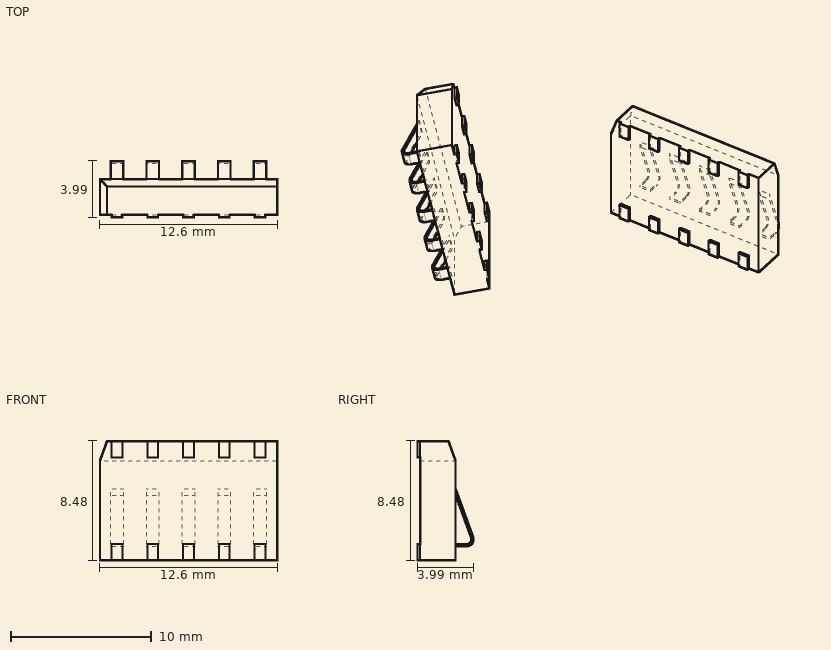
import cadquery as cq
import math

body_width = 12.62
body_depth = 2.54
body_height = 8.48

slope_height = 1.40
slope_angle = 20.0
slope_inset = slope_height * math.tan(math.radians(slope_angle))

pitch = 2.54
position_count = 5

pad_width = 0.77
pad_height = 1.16
pad_thickness = 0.18

spring_width = 0.90
spring_thickness = 0.16
spring_reach = 1.27
spring_bottom = 1.00
spring_bend_radius = 0.50
spring_arm_angle = 20.0

embed = 0.30

position_xs = [(i - (position_count - 1) / 2) * pitch for i in range(position_count)]


def make_housing():
    """Block with the two sloped faces at the top of the rear and left sides."""
    left = -body_width / 2
    slope_start = body_height - slope_height
    front_profile = [
        (left, 0),
        (body_width / 2, 0),
        (body_width / 2, body_height),
        (left + slope_inset, body_height),
        (left, slope_start),
    ]
    block = cq.Workplane("XZ").polyline(front_profile).close().extrude(-body_depth)
    rear_wedge = (
        cq.Workplane("YZ")
        .polyline([
            (body_depth, slope_start),
            (body_depth, body_height),
            (body_depth - slope_inset, body_height),
        ])
        .close()
        .extrude(body_width / 2, both=True)
    )
    return block.cut(rear_wedge)


def make_pad(x, bottom):
    """Flat pad standing out from the front face, with its lower edge at the given Z."""
    pad = cq.Workplane("XY").box(pad_width, pad_thickness, pad_height, centered=(True, False, False))
    return pad.translate((x, -pad_thickness, bottom))


def make_spring(x):
    """Strip leaving the housing horizontally, bent round and returning as a sloped arm."""
    angle = math.radians(spring_arm_angle)
    bend_y = body_depth + spring_reach - spring_bend_radius
    bend_z = spring_bottom + spring_bend_radius
    inner_radius = spring_bend_radius - spring_thickness
    root_y = body_depth - embed

    def on_bend(radius, direction):
        return (bend_y + radius * math.cos(direction), bend_z + radius * math.sin(direction))

    def arm_end(radius):
        tangent_y, tangent_z = on_bend(radius, angle)
        return (root_y, tangent_z + (tangent_y - root_y) / math.tan(angle))

    bend_start = -math.pi / 2
    bend_middle = (bend_start + angle) / 2
    strip = (
        cq.Workplane("YZ")
        .moveTo(root_y, spring_bottom)
        .lineTo(bend_y, spring_bottom)
        .threePointArc(on_bend(spring_bend_radius, bend_middle), on_bend(spring_bend_radius, angle))
        .lineTo(*arm_end(spring_bend_radius))
        .lineTo(*arm_end(inner_radius))
        .lineTo(*on_bend(inner_radius, angle))
        .threePointArc(on_bend(inner_radius, bend_middle), on_bend(inner_radius, bend_start))
        .lineTo(root_y, spring_bottom + spring_thickness)
        .close()
        .extrude(spring_width / 2, both=True)
    )
    return strip.translate((x, 0, 0))


result = make_housing()
for position_x in position_xs:
    result = result.union(make_pad(position_x, 0))
    result = result.union(make_pad(position_x, body_height - pad_height))
    result = result.union(make_spring(position_x))